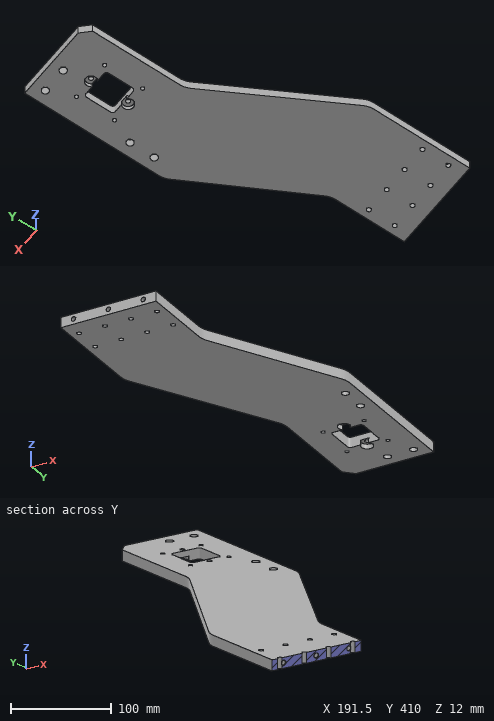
import cadquery as cq

length = 410.0
width = 191.5
thickness = 12.0
lower_arm_width = 110.0
upper_arm_width = 100.0
upper_arm_left = width - upper_arm_width

left_bend_low = 125.0
left_bend_high = 285.8
right_bend_low = 91.0
right_bend_high = 238.0
bend_radius = 25.0
corner_chamfer = 10.2

mount_hole_diameter = 5.0
mount_columns = 4
mount_rows = 2
mount_column_pitch = 30.0
mount_row_pitch = 32.0
mount_first_row = 19.3
end_hole_diameter = 5.0
end_hole_count = 3
end_hole_pitch = 40.0
end_hole_depth = 20.0

window_size = 36.0
window_corner_radius = 3.3
window_center_x = upper_arm_left + 49.0
window_center_y = length - 67.5
screw_square_pitch = 47.0
screw_hole_diameter = 4.0
pin_pitch = 46.0
pin_hole_diameter = 5.0
pin_counterbore_diameter = 13.0
pin_counterbore_depth = 5.5

fixing_hole_diameter = 8.0
fixing_margin = 14.8
fixing_pitch = 30.0
fixing_pair_spacing = 105.0


def plate():
    """Dog-leg plate with rounded bends and one chamfered corner."""
    bends = [
        (lower_arm_width, right_bend_low),
        (width, right_bend_high),
        (upper_arm_left, left_bend_high),
        (0, left_bend_low),
    ]
    outline = [
        (0, 0),
        (lower_arm_width, 0),
        *bends[:2],
        (width, length),
        (upper_arm_left, length),
        *bends[2:],
    ]
    body = cq.Workplane("XY").polyline(outline).close().extrude(thickness)
    for x, y in bends:
        bend_edge = cq.selectors.NearestToPointSelector((x, y, thickness / 2))
        body = body.edges(bend_edge).fillet(bend_radius)
    corner = cq.selectors.NearestToPointSelector((upper_arm_left, length, thickness / 2))
    return body.edges(corner).chamfer(corner_chamfer)


def through_holes(centers, diameter):
    """Round cutters that pass through the full thickness."""
    return cq.Workplane("XY").pushPoints(centers).circle(diameter / 2).extrude(thickness)


def mount_holes():
    """Grid of holes centred across the lower arm."""
    first_column = (lower_arm_width - (mount_columns - 1) * mount_column_pitch) / 2
    centers = [
        (first_column + column * mount_column_pitch, mount_first_row + row * mount_row_pitch)
        for column in range(mount_columns)
        for row in range(mount_rows)
    ]
    return through_holes(centers, mount_hole_diameter)


def end_holes():
    """Blind holes entering the lower end face at mid-thickness."""
    first_hole = (lower_arm_width - (end_hole_count - 1) * end_hole_pitch) / 2
    centers = [(first_hole + i * end_hole_pitch, thickness / 2) for i in range(end_hole_count)]
    end_face = cq.Workplane("XZ").pushPoints(centers)
    return end_face.circle(end_hole_diameter / 2).extrude(-end_hole_depth)


def window():
    """Square through-opening with rounded corners."""
    opening = cq.Workplane("XY").center(window_center_x, window_center_y).rect(window_size, window_size)
    return opening.extrude(thickness).edges("|Z").fillet(window_corner_radius)


def screw_holes():
    """Four holes at the corners of a square around the window."""
    half = screw_square_pitch / 2
    centers = [
        (window_center_x + dx, window_center_y + dy)
        for dx in (-half, half)
        for dy in (-half, half)
    ]
    return through_holes(centers, screw_hole_diameter)


def pin_holes():
    """Two holes beside the window, counterbored from the underside so they break into it."""
    centers = [(window_center_x, window_center_y + dy) for dy in (-pin_pitch / 2, pin_pitch / 2)]
    counterbores = cq.Workplane("XY").pushPoints(centers).circle(pin_counterbore_diameter / 2)
    return through_holes(centers, pin_hole_diameter).union(counterbores.extrude(pin_counterbore_depth))


def fixing_holes():
    """One pair along the far edge and one pair along the right edge."""
    right_x = width - fixing_margin
    top_y = length - fixing_margin
    lower_y = top_y - fixing_pair_spacing
    centers = [
        (right_x - fixing_pitch, top_y),
        (right_x, top_y),
        (right_x, lower_y),
        (right_x, lower_y - fixing_pitch),
    ]
    return through_holes(centers, fixing_hole_diameter)


result = plate()
for cutter in (mount_holes(), end_holes(), window(), screw_holes(), pin_holes(), fixing_holes()):
    result = result.cut(cutter)